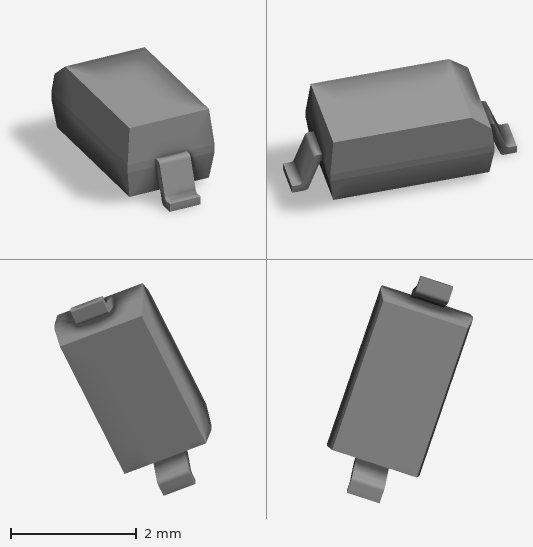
import cadquery as cq
import math

overall_length = 3.7
overall_height = 1.35

body_length = 2.7
body_width = 1.55
body_bottom = 0.1
taper_inset = 0.065
bevel_start_x = -0.99
bevel_start_z = 1.062

lead_thickness = 0.14
lead_width = 0.55
band_bottom = 0.585
foot_length = 0.16
lean_angle = 20.0
bend_radius = 0.07

band_top = band_bottom + lead_thickness
half_length = body_length / 2


def tapered_block(z_wide, z_narrow):
    """Pyramid frustum from the full band outline to the inset outline."""
    return (
        cq.Workplane("XY", origin=(0, 0, z_wide))
        .rect(body_length, body_width)
        .workplane(offset=z_narrow - z_wide)
        .rect(body_length - 2 * taper_inset, body_width - 2 * taper_inset)
        .loft(ruled=True)
    )


def make_body():
    band = (
        cq.Workplane("XY", origin=(0, 0, band_bottom))
        .rect(body_length, body_width)
        .extrude(lead_thickness)
    )
    body = (
        band.union(tapered_block(band_top, overall_height))
        .union(tapered_block(band_bottom, body_bottom))
    )
    taper_fraction = (bevel_start_z - band_top) / (overall_height - band_top)
    bevel_end_x = -half_length + taper_inset * taper_fraction
    slope = (overall_height - bevel_start_z) / (bevel_start_x - bevel_end_x)
    outer_z = bevel_start_z - slope * (bevel_end_x + half_length)
    bevel = (
        cq.Workplane("XZ")
        .moveTo(bevel_start_x, overall_height)
        .lineTo(-half_length, outer_z)
        .lineTo(-half_length, overall_height)
        .close()
        .extrude(body_width / 2, both=True)
    )
    return body.cut(bevel)


def make_lead(side):
    """Gull-wing lead on the +X (side = 1) or -X (side = -1) end of the body."""
    lean = math.radians(lean_angle)
    corner_shift = lead_thickness * math.tan((math.pi / 2 - lean) / 2)
    leg_run = (band_top - lead_thickness) * math.tan(lean)
    ankle_x = overall_length / 2 - foot_length
    shoulder_x = ankle_x - leg_run
    outline = [
        (half_length, band_bottom),
        (half_length, band_top),
        (shoulder_x, band_top),
        (ankle_x, lead_thickness),
        (overall_length / 2, lead_thickness),
        (overall_length / 2, 0),
        (ankle_x - corner_shift, 0),
        (shoulder_x - corner_shift, band_bottom),
    ]
    rounded_corners = [outline[2], outline[3], outline[6]]

    lead = cq.Workplane("XZ").polyline(outline).close().extrude(lead_width / 2, both=True)
    for corner_x, corner_z in rounded_corners:
        lead = lead.edges(cq.selectors.NearestToPointSelector((corner_x, 0, corner_z))).fillet(bend_radius)
    return lead if side > 0 else lead.mirror("YZ")


body = make_body()
leads = [make_lead(side) for side in (-1, 1)]

result = cq.Compound.makeCompound([body.val(), *[lead.val() for lead in leads]])